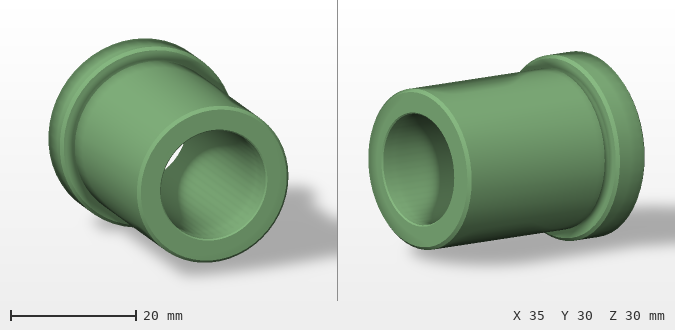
import cadquery as cq

length = 35.0
flange_diameter = 30.0
flange_thickness = 6.0
body_diameter = 26.0
bore_diameter = 18.0

flange_chamfer = 0.5
body_chamfer = 0.5
bore_chamfer = 0.2
groove_width = 1.0
groove_depth = 0.5

flange_radius = flange_diameter / 2
body_radius = body_diameter / 2
bore_radius = bore_diameter / 2

flange_face = -length / 2
end_face = length / 2
shoulder = flange_face + flange_thickness
groove_end = shoulder + groove_width
groove_bottom = (shoulder + groove_width / 2, body_radius - groove_depth)


def half_profile():
    """Wall section above the axis: X along the bushing, Y as the radius."""
    return (
        cq.Workplane("XY")
        .moveTo(flange_face, bore_radius + bore_chamfer)
        .lineTo(flange_face, flange_radius - flange_chamfer)
        .lineTo(flange_face + flange_chamfer, flange_radius)
        .lineTo(shoulder - flange_chamfer, flange_radius)
        .lineTo(shoulder, flange_radius - flange_chamfer)
        .lineTo(shoulder, body_radius)
        .threePointArc(groove_bottom, (groove_end, body_radius))
        .lineTo(end_face - body_chamfer, body_radius)
        .lineTo(end_face, body_radius - body_chamfer)
        .lineTo(end_face, bore_radius + bore_chamfer)
        .lineTo(end_face - bore_chamfer, bore_radius)
        .lineTo(flange_face + bore_chamfer, bore_radius)
        .close()
    )


result = half_profile().revolve(360, (0, 0, 0), (1, 0, 0))